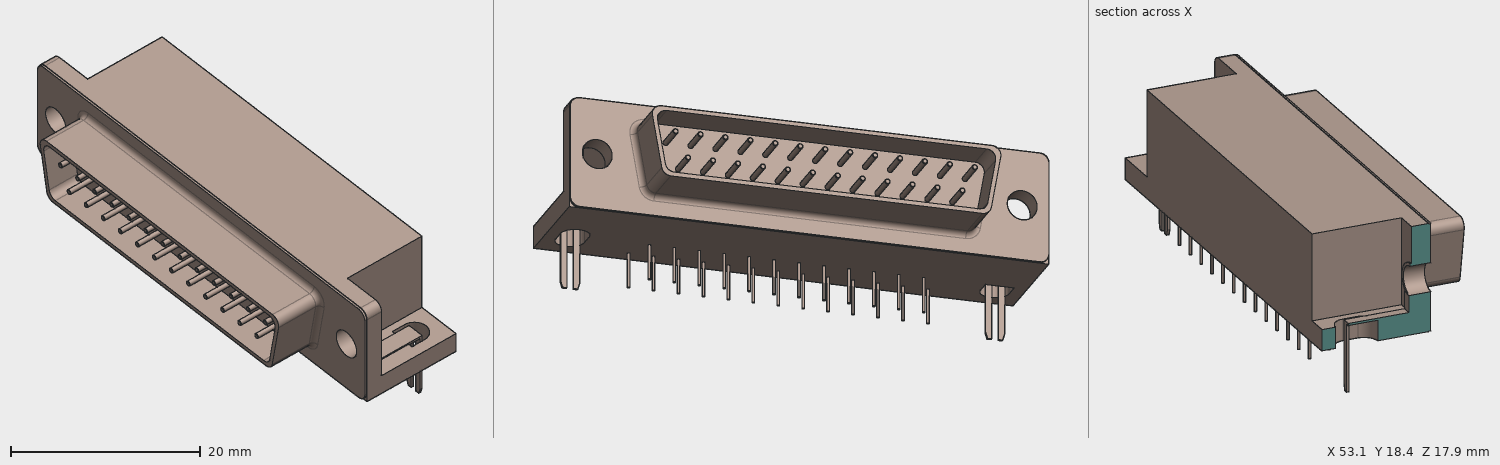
import cadquery as cq
import math


length = 53.1
height = 12.5
mid_z = height / 2
overall_depth = 18.4
overall_height = 17.9
shell_reach = 5.8
back_y = overall_depth - shell_reach
flange_back_y = 2.3
plate_thickness = 0.25
plate_inset = 0.05
corner_radius = 1.0
body_length = 42.05
tab_height = 2.5

mount_x = 23.5
mount_diameter = 3.3
slot_width = 3.2
slot_length = 4.9
slot_back_margin = 1.6

shell_height = 7.85
shell_mid_width = 37.6
shell_slant = math.radians(10)
shell_wall = 0.5
shell_corner = 1.0
shell_base_fillet = 0.65
cavity_floor_y = -1.85

contact_count = 25
contact_step = 1.4
contact_row_gap = 2.8
contact_diameter = 0.6
contact_tip_chamfer = 0.05
contact_reach = 5.35
tail_diameter = 0.3
tail_tip_chamfer = 0.05
tail_reach = 3.95
tail_mid_y = back_y - 3.2
tail_row_gap = 2.85
root_depth = 0.55

strap_width = 2.1
strap_thickness = 0.3
strap_rise = 0.15
upright_top_z = 4.65
leg_width = 0.7
leg_reach = overall_height - height
leg_tip_height = 0.7
leg_tip_inset = 0.2
eyelet_diameter = 4.0
eyelet_thickness = 0.15


def box(x_size, y_min, y_max, z_min, z_max, x_mid=0.0):
    """Box centred on x_mid in X, between the given Y and Z limits."""
    block = cq.Workplane("XY").box(x_size, y_max - y_min, z_max - z_min, centered=(True, False, False))
    return block.translate((x_mid, y_min, z_min))


def rod_y(diameter, x, z, y_min, y_max):
    """Round rod along Y."""
    return (
        cq.Workplane("XZ", origin=(x, y_max, z))
        .circle(diameter / 2)
        .extrude(y_max - y_min)
    )


def d_prism(inset, y_min, y_max):
    """D-shaped prism along Y, wider at the top, with its straight sides moved inwards by inset."""
    half_height = shell_height / 2 - inset
    half_mid = shell_mid_width / 2 - inset / math.cos(shell_slant)
    lean = half_height * math.tan(shell_slant)
    top = half_mid + lean
    bottom = half_mid - lean
    return (
        cq.Workplane("XZ", origin=(0, y_max, mid_z))
        .polyline([(-top, half_height), (top, half_height), (bottom, -half_height), (-bottom, -half_height)])
        .close()
        .extrude(y_max - y_min)
        .edges("|Y")
        .fillet(shell_corner)
    )


def housing():
    """Flange with rounded top corners, full-height body and a low tab at each end."""
    flange = box(length, plate_thickness, flange_back_y, 0, height)
    flange = flange.edges("|Y and >Z").fillet(corner_radius)
    body = box(body_length, flange_back_y, back_y, 0, height)
    tabs = box(length, flange_back_y, back_y, 0, tab_height)
    return flange.union(body).union(tabs)


def plate_and_shell():
    """Metal plate, slightly smaller than the flange, and the hollow shell flared into it."""
    plate = box(length - 2 * plate_inset, 0, plate_thickness, plate_inset, height - plate_inset)
    plate = plate.edges("|Y").fillet(corner_radius)
    front = plate.union(d_prism(0, -shell_reach, 0))
    foot_edges = cq.selectors.BoxSelector(
        (-mount_x, -shell_base_fillet / 2, shell_base_fillet),
        (mount_x, shell_base_fillet / 2, height - shell_base_fillet),
    )
    front = front.edges(foot_edges).fillet(shell_base_fillet)
    return front.cut(d_prism(shell_wall, -shell_reach, cavity_floor_y))


def tab_slot(x):
    """Slot along Y through a tab; round at both ends for negative x, square at its front end otherwise."""
    slot_y = back_y - slot_back_margin - slot_length / 2
    slot = (
        cq.Workplane("XY", origin=(x, slot_y, 0))
        .slot2D(slot_length, slot_width, 90)
        .extrude(tab_height)
    )
    if x < 0:
        return slot
    front_y = slot_y - slot_length / 2
    front_half_round = box(slot_width, front_y, front_y + slot_width / 2, 0, tab_height, x)
    return slot.cut(front_half_round)


def bracket_leg(x, side):
    """One leg of a bracket, with its outer bottom corner cut off."""
    outer = side * strap_width / 2
    inner = outer - side * leg_width
    top = tab_height + strap_rise
    return (
        cq.Workplane("XZ", origin=(x, tail_mid_y + strap_thickness / 2, 0))
        .polyline([
            (outer, top),
            (outer, leg_tip_height - leg_reach),
            (outer - side * leg_tip_inset, -leg_reach),
            (inner, -leg_reach),
            (inner, top),
        ])
        .close()
        .extrude(strap_thickness)
    )


def bracket(x):
    """Strap lying on the tab, an upright and eyelet behind the flange, and two legs through the slot."""
    foot_top = tab_height + strap_rise
    foot_bottom = foot_top - strap_thickness
    foot_end = tail_mid_y + strap_thickness / 2
    foot = box(strap_width, flange_back_y, foot_end, foot_bottom, foot_top, x)
    upright = box(strap_width, flange_back_y, flange_back_y + strap_thickness, foot_bottom, upright_top_z, x)
    eyelet = rod_y(eyelet_diameter, x, mid_z, flange_back_y, flange_back_y + eyelet_thickness)
    strap = foot.union(upright).union(eyelet)
    for side in (-1, 1):
        strap = strap.union(bracket_leg(x, side))
    return strap


def contact(x, row):
    """Contact pin and solder tail; row is 1 for the upper pins with rear tails, -1 for the lower ones."""
    z = mid_z + row * contact_row_gap / 2
    pin = rod_y(contact_diameter, x, z, -contact_reach, cavity_floor_y + root_depth)
    pin = pin.faces("<Y").chamfer(contact_tip_chamfer)
    tail_y = tail_mid_y + row * tail_row_gap / 2
    tail = (
        cq.Workplane("XY", origin=(x, tail_y, -tail_reach))
        .circle(tail_diameter / 2)
        .extrude(tail_reach + root_depth)
        .faces("<Z")
        .chamfer(tail_tip_chamfer)
    )
    return pin.union(tail)


result = housing().union(plate_and_shell())

for mount in (-mount_x, mount_x):
    result = result.cut(tab_slot(mount))
    result = result.union(bracket(mount))
    result = result.cut(rod_y(mount_diameter, mount, mid_z, 0, back_y))

for index in range(contact_count):
    contact_x = (index - (contact_count - 1) / 2) * contact_step
    contact_row = 1 if index % 2 == 0 else -1
    result = result.union(contact(contact_x, contact_row))